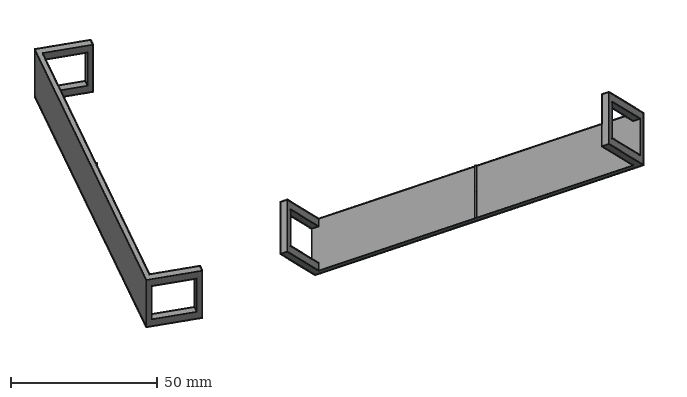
import cadquery as cq

length = 140.0
depth = 20.0
height = 20.0

back_thickness = 2.0
leg_thickness = 3.0

window_side_margin = 2.0
window_end_margin = 3.0
window_depth = depth - 2 * window_side_margin
window_height = height - 2 * window_end_margin

bead_diameter = 0.8
inner_face_y = back_thickness - depth / 2


def make_channel():
    """U-shaped bracket: a long thin back wall on -Y with a leg at each end."""
    blank = cq.Workplane("XY").box(length, depth, height)
    inner_space = (
        cq.Workplane("XY")
        .box(length - 2 * leg_thickness, depth, height)
        .translate((0, back_thickness, 0))
    )
    return blank.cut(inner_space)


def make_window_cutter():
    """Bar along X that opens a window in both legs, flush with the back wall's inner face."""
    return cq.Workplane("XY").box(length, window_depth, window_height)


def make_bead():
    """Full-height rod centred on the inner face, so half of it stands proud of the wall."""
    return (
        cq.Workplane("XY")
        .center(0, inner_face_y)
        .circle(bead_diameter / 2)
        .extrude(height / 2, both=True)
    )


result = make_channel().cut(make_window_cutter()).union(make_bead())